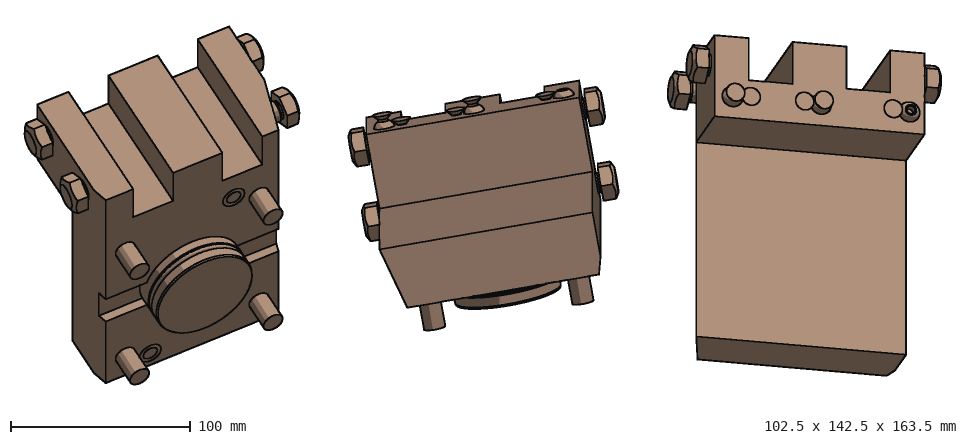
import cadquery as cq
import math

HEIGHT = 163.5
DEPTH = 78.0
WIDTH = 120.3
PLATE_FRONT_X = 42.7
OVERHANG_Z = 115.3
SIDE_TAPER_ANGLE = 15.0
TAPER_START_PLUS_Y = 42.7
TAPER_START_MINUS_Y = 68.7

SLOT_WIDTH = 25.0
SLOT_DEPTH = 25.0
SLOT_OFFSET = 28.0

SPIGOT_Y = -3.6
SPIGOT_Z = 65.0
KEYWAY_WIDTH = 20.0
KEYWAY_DEPTH = 5.4
SPIGOT_DIAMETER = 60.0
SPIGOT_RADIUS = SPIGOT_DIAMETER / 2
SPIGOT_LENGTH = 15.7
SPIGOT_CHAMFER_LENGTH = 1.1
SPIGOT_CHAMFER_DROP = 0.5
GROOVE_START = 5.0
GROOVE_END = 9.2
GROOVE_FLOOR_RADIUS = 27.1
SPIGOT_RING_SECTION = 1.55
PIN_RADIUS = 6.0
PIN_LENGTH = 17.3
PIN_OFFSET_Y = 41.9
PIN_OFFSET_Z = 47.1
PORT_RING_OFFSET_Y = 26.2
PORT_RING_OFFSET_Z = 54.5
PORT_RING_OUTER_RADIUS = 7.0
PORT_RING_SECTION = 1.5
PORT_RING_PROUD = 0.7

BOLT_X = (13.4, 56.4)
BOLT_Z = 150.6
BOLT_HEAD_GAP = 2.1
BOLT_HEAD_THICKNESS = 9.0
BOLT_ACROSS_FLATS = 19.3
BOLT_FACE_RADIUS = 7.2
BOLT_CHAMFER_ANGLE = 30.0
BOLT_NECK_RADIUS = 5.4
BOLT_NECK_LENGTH = 1.1
BOLT_SHANK_RADIUS = 6.2
BOLT_EMBED = 11.5

NOZZLE_Z = 127.9
NOZZLE_CENTRE_Y = -0.8
NOZZLE_PITCH = 50.7
BALL_RADIUS = 6.2
BALL_CENTRE_X = 2.0
BALL_PROUD = 3.5
BALL_BORE_RADIUS = 2.3
BALL_BORE_DEPTH = 4.9
SCREW_HEAD_RADIUS = 5.2
SCREW_NECK_RADIUS = 2.8
SCREW_HEAD_LENGTH = SCREW_HEAD_RADIUS - SCREW_NECK_RADIUS
SCREW_EMBED = 3.3
NOZZLE_SCREW_PROUD = 7.2
FACE_SCREW_PROUD = 2.8
FACE_SCREW_OFFSET = 10.0


def rod_x(radius, x_start, x_end, y, z):
    """Cylinder along X between two X positions."""
    return cq.Workplane("YZ", origin=(x_start, y, z)).circle(radius).extrude(x_end - x_start)


def turned_x(profile, y, z):
    """Solid turned about an axis along X from (x, radius) points."""
    outline = cq.Workplane("XY", origin=(0, y, z)).polyline(profile).close()
    return outline.revolve(360, (0, 0, 0), (1, 0, 0))


def ring_x(centre_radius, section_radius, x, y, z):
    """O-ring with its axis along X."""
    plane = cq.Plane(origin=(x, y, z), xDir=(0, -1, 0), normal=(0, 0, 1))
    section = cq.Workplane(plane).moveTo(-centre_radius, 0).circle(section_radius)
    return section.revolve(360, (0, 0, 0), (0, 1, 0))


def make_body():
    side_outline = [
        (0, HEIGHT),
        (DEPTH, HEIGHT),
        (DEPTH, 0),
        (PLATE_FRONT_X, 0),
        (PLATE_FRONT_X, OVERHANG_Z),
        (0, OVERHANG_Z),
    ]
    body = cq.Workplane("XZ").polyline(side_outline).close().extrude(WIDTH / 2, both=True)

    slope = math.tan(math.radians(SIDE_TAPER_ANGLE))
    half = WIDTH / 2
    plan_outline = [
        (0, half),
        (TAPER_START_PLUS_Y, half),
        (DEPTH, half - (DEPTH - TAPER_START_PLUS_Y) * slope),
        (DEPTH, -half + (DEPTH - TAPER_START_MINUS_Y) * slope),
        (TAPER_START_MINUS_Y, -half),
        (0, -half),
    ]
    body = body.intersect(cq.Workplane("XY").polyline(plan_outline).close().extrude(HEIGHT))

    for side in (-1, 1):
        slot = cq.Workplane("XY").box(DEPTH, SLOT_WIDTH, SLOT_DEPTH, centered=(False, True, False))
        body = body.cut(slot.translate((0, side * SLOT_OFFSET, HEIGHT - SLOT_DEPTH)))

    keyway = cq.Workplane("XY").box(KEYWAY_DEPTH, WIDTH, KEYWAY_WIDTH, centered=(False, True, True))
    return body.cut(keyway.translate((DEPTH - KEYWAY_DEPTH, 0, SPIGOT_Z)))


def make_spigot():
    """Round spigot rising from the keyway floor, with an O-ring in its groove."""
    end = DEPTH + SPIGOT_LENGTH
    groove_start = DEPTH + GROOVE_START
    groove_end = DEPTH + GROOVE_END
    profile = [
        (DEPTH - KEYWAY_DEPTH, 0),
        (DEPTH - KEYWAY_DEPTH, SPIGOT_RADIUS),
        (groove_start, SPIGOT_RADIUS),
        (groove_start, GROOVE_FLOOR_RADIUS),
        (groove_end, GROOVE_FLOOR_RADIUS),
        (groove_end, SPIGOT_RADIUS),
        (end - SPIGOT_CHAMFER_LENGTH, SPIGOT_RADIUS),
        (end, SPIGOT_RADIUS - SPIGOT_CHAMFER_DROP),
        (end, 0),
    ]
    ring = ring_x(
        SPIGOT_RADIUS - SPIGOT_RING_SECTION,
        SPIGOT_RING_SECTION,
        groove_start + SPIGOT_RING_SECTION,
        SPIGOT_Y,
        SPIGOT_Z,
    )
    return turned_x(profile, SPIGOT_Y, SPIGOT_Z).union(ring)


def make_pin(side_y, side_z):
    y = SPIGOT_Y + side_y * PIN_OFFSET_Y
    z = SPIGOT_Z + side_z * PIN_OFFSET_Z
    return rod_x(PIN_RADIUS, DEPTH - KEYWAY_DEPTH, DEPTH + PIN_LENGTH, y, z)


def make_port_ring(side):
    """O-ring standing slightly proud of the back face."""
    return ring_x(
        PORT_RING_OUTER_RADIUS - PORT_RING_SECTION,
        PORT_RING_SECTION,
        DEPTH + PORT_RING_PROUD - PORT_RING_SECTION,
        SPIGOT_Y + side * PORT_RING_OFFSET_Y,
        SPIGOT_Z + side * PORT_RING_OFFSET_Z,
    )


def make_bolt():
    """Bolt along +Z, with Z = 0 on the side face of the body."""
    head_top = BOLT_HEAD_GAP + BOLT_HEAD_THICKNESS
    corner_radius = BOLT_ACROSS_FLATS / math.sqrt(3)
    chamfer_drop = (corner_radius - BOLT_FACE_RADIUS) * math.tan(math.radians(BOLT_CHAMFER_ANGLE))
    hexagon = cq.Workplane("XY", origin=(0, 0, BOLT_HEAD_GAP)).polygon(6, 2 * corner_radius)
    head = hexagon.extrude(BOLT_HEAD_THICKNESS).rotate((0, 0, 0), (0, 0, 1), 90)

    envelope_profile = [
        (0, BOLT_HEAD_GAP),
        (corner_radius, BOLT_HEAD_GAP),
        (corner_radius, head_top - chamfer_drop),
        (BOLT_FACE_RADIUS, head_top),
        (0, head_top),
    ]
    shank_profile = [
        (0, BOLT_HEAD_GAP),
        (BOLT_NECK_RADIUS, BOLT_HEAD_GAP),
        (BOLT_NECK_RADIUS, BOLT_HEAD_GAP - BOLT_NECK_LENGTH),
        (BOLT_SHANK_RADIUS, 0),
        (BOLT_SHANK_RADIUS, -BOLT_EMBED),
        (0, -BOLT_EMBED),
    ]
    full_turn = (360, (0, 0, 0), (0, 1, 0))
    envelope = cq.Workplane("XZ").polyline(envelope_profile).close().revolve(*full_turn)
    shank = cq.Workplane("XZ").polyline(shank_profile).close().revolve(*full_turn)
    return head.intersect(envelope).union(shank)


def make_ball(y):
    """Flattened ball nozzle seated in the overhanging face."""
    ball = cq.Workplane("XY").sphere(BALL_RADIUS).translate((BALL_CENTRE_X, y, NOZZLE_Z))
    return ball.intersect(rod_x(BALL_RADIUS, -BALL_PROUD, BALL_CENTRE_X + BALL_RADIUS, y, NOZZLE_Z))


def make_screw(y, proud):
    """Countersunk screw whose flat head stands proud of the overhanging face."""
    profile = [
        (-proud, 0),
        (-proud, SCREW_HEAD_RADIUS),
        (SCREW_HEAD_LENGTH - proud, SCREW_NECK_RADIUS),
        (SCREW_EMBED, SCREW_NECK_RADIUS),
        (SCREW_EMBED, 0),
    ]
    return turned_x(profile, y, NOZZLE_Z)


result = make_body().union(make_spigot())

for side_y in (-1, 1):
    for side_z in (-1, 1):
        result = result.union(make_pin(side_y, side_z))

for side in (-1, 1):
    result = result.union(make_port_ring(side))

bolt = make_bolt()
for side in (-1, 1):
    side_bolt = bolt.rotate((0, 0, 0), (1, 0, 0), -side * 90)
    for bolt_x in BOLT_X:
        result = result.union(side_bolt.translate((bolt_x, side * WIDTH / 2, BOLT_Z)))

open_nozzle_y = NOZZLE_CENTRE_Y - NOZZLE_PITCH
middle_nozzle_y = NOZZLE_CENTRE_Y
far_nozzle_y = NOZZLE_CENTRE_Y + NOZZLE_PITCH

for nozzle_y in (open_nozzle_y, middle_nozzle_y, far_nozzle_y):
    result = result.union(make_ball(nozzle_y))

result = result.cut(
    rod_x(BALL_BORE_RADIUS, -BALL_PROUD, BALL_BORE_DEPTH - BALL_PROUD, open_nozzle_y, NOZZLE_Z)
)

for nozzle_y in (middle_nozzle_y, far_nozzle_y):
    result = result.union(make_screw(nozzle_y, NOZZLE_SCREW_PROUD))

for screw_y in (
    open_nozzle_y + FACE_SCREW_OFFSET,
    middle_nozzle_y + FACE_SCREW_OFFSET,
    far_nozzle_y - FACE_SCREW_OFFSET,
):
    result = result.union(make_screw(screw_y, FACE_SCREW_PROUD))